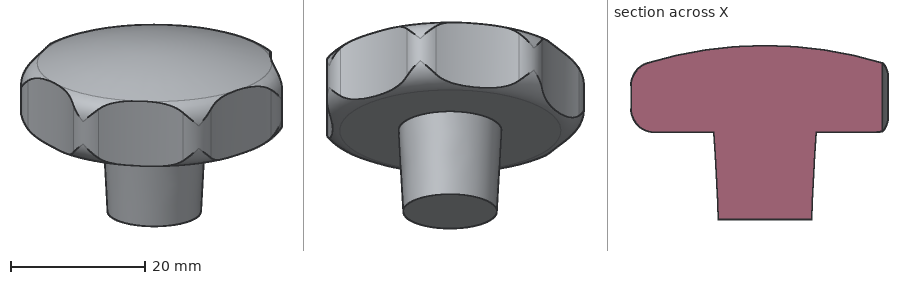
import math
import cadquery as cq

total_height = 26.0
head_bottom = 13.0
head_top = 23.4

lobe_count = 7
tip_radius = 20.0
valley_radius = 17.5
lobe_round = 3.5
edge_round = 3.5

stem_bottom_radius = 7.0
stem_draft = math.radians(3)
stem_top_radius = stem_bottom_radius + head_bottom * math.tan(stem_draft)

half_pitch = math.pi / lobe_count
lobe_center = tip_radius - lobe_round
lobe_along = lobe_center * math.cos(half_pitch)
lobe_across = lobe_center * math.sin(half_pitch)
valley_gap = valley_radius - lobe_along
scallop_radius = (valley_gap**2 + lobe_across**2 - lobe_round**2) / (2 * (lobe_round - valley_gap))
scallop_center = valley_radius + scallop_radius
tangent_share = lobe_round / (lobe_round + scallop_radius)
tangent_along = lobe_along + tangent_share * (scallop_center - lobe_along)
tangent_across = lobe_across * (1 - tangent_share)
tangent_radius = math.hypot(tangent_along, tangent_across)
tangent_angle = math.atan2(tangent_across, tangent_along)


def polar(radius, angle):
    """Plane point at a given distance and angle about the axis."""
    return (radius * math.cos(angle), radius * math.sin(angle))


def make_lobed_prism():
    """Star outline of alternating convex tips and concave scallops, raised to the dome top."""
    first_valley = math.pi / 2 - half_pitch
    outline = cq.Workplane("XY").workplane(offset=head_bottom)
    outline = outline.moveTo(*polar(tangent_radius, first_valley - tangent_angle))
    for index in range(lobe_count):
        valley = first_valley + 2 * half_pitch * index
        tip = valley + half_pitch
        next_valley = tip + half_pitch
        outline = outline.threePointArc(
            polar(valley_radius, valley), polar(tangent_radius, valley + tangent_angle)
        )
        outline = outline.threePointArc(
            polar(tip_radius, tip), polar(tangent_radius, next_valley - tangent_angle)
        )
    return outline.close().extrude(total_height - head_bottom)


def make_head_envelope():
    """Turned head: flat underside, rounded outer edges and a domed top."""
    round_center = tip_radius - edge_round
    lower_round_z = head_bottom + edge_round
    diagonal = edge_round * math.cos(math.pi / 4)
    upper_drop = math.sqrt(edge_round**2 - (valley_radius - round_center) ** 2)
    upper_round_z = head_top - upper_drop
    upper_middle = math.atan2(upper_drop, valley_radius - round_center) / 2
    dome_rise = total_height - head_top
    dome_radius = (valley_radius**2 + dome_rise**2) / (2 * dome_rise)
    mid_radius = valley_radius / 2
    mid_z = total_height - dome_radius + math.sqrt(dome_radius**2 - mid_radius**2)
    profile = (
        cq.Workplane("XZ")
        .moveTo(0, head_bottom)
        .lineTo(round_center, head_bottom)
        .threePointArc(
            (round_center + diagonal, lower_round_z - diagonal), (tip_radius, lower_round_z)
        )
        .lineTo(tip_radius, upper_round_z)
        .threePointArc(
            (
                round_center + edge_round * math.cos(upper_middle),
                upper_round_z + edge_round * math.sin(upper_middle),
            ),
            (valley_radius, head_top),
        )
        .threePointArc((mid_radius, mid_z), (0, total_height))
        .close()
    )
    return profile.revolve(360, (0, 0, 0), (0, 1, 0))


def make_stem():
    """Tapered stem, narrowest at its free end."""
    profile = (
        cq.Workplane("XZ")
        .lineTo(stem_bottom_radius, 0)
        .lineTo(stem_top_radius, head_bottom)
        .lineTo(0, head_bottom)
        .close()
    )
    return profile.revolve(360, (0, 0, 0), (0, 1, 0))


head = make_lobed_prism().intersect(make_head_envelope())
result = head.union(make_stem())